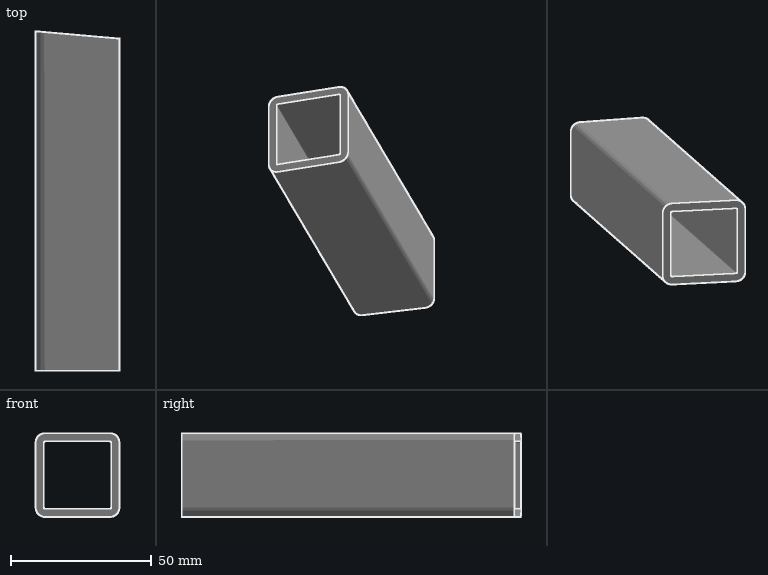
import cadquery as cq
import math

tube_side = 30.0
wall = 3.0
outer_corner_radius = 3.5
long_side_length = 121.25
end_slant = 5.0

half_side = tube_side / 2
bore_side = tube_side - 2 * wall
inner_corner_radius = outer_corner_radius - wall
short_side_length = long_side_length - tube_side * math.tan(math.radians(end_slant))


def rounded_square_bar(side, corner_radius):
    """Square bar along +Y from Y = 0, with its long edges rounded."""
    bar = cq.Workplane("XZ").rect(side, side).extrude(-long_side_length)
    return bar.edges("|Y").fillet(corner_radius)


def slanted_end_envelope():
    """Block that is square at the near end and slanted at the far end."""
    plan = (
        cq.Workplane("XY")
        .workplane(offset=-half_side)
        .moveTo(-half_side, 0)
        .lineTo(half_side, 0)
        .lineTo(half_side, short_side_length)
        .lineTo(-half_side, long_side_length)
        .close()
    )
    return plan.extrude(tube_side)


outer_bar = rounded_square_bar(tube_side, outer_corner_radius)
bore = rounded_square_bar(bore_side, inner_corner_radius)
result = outer_bar.cut(bore).intersect(slanted_end_envelope())